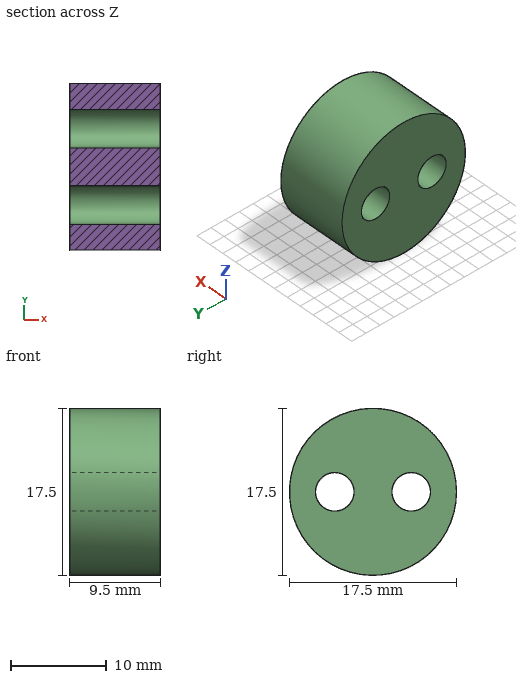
import cadquery as cq

disc_diameter = 17.5
disc_thickness = 9.5
hole_diameter = 4.0
hole_spacing = 8.0

disc = cq.Workplane("YZ").circle(disc_diameter / 2).extrude(disc_thickness)

hole_centres = [(-hole_spacing / 2, 0), (hole_spacing / 2, 0)]
holes = (
    cq.Workplane("YZ")
    .pushPoints(hole_centres)
    .circle(hole_diameter / 2)
    .extrude(disc_thickness)
)

result = disc.cut(holes)